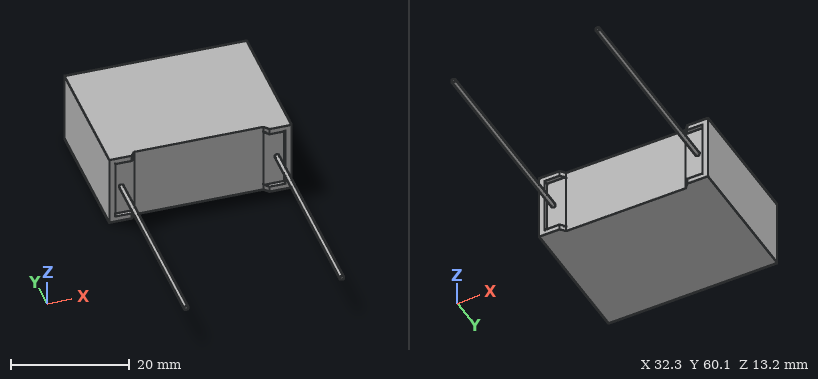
import cadquery as cq

case_width = 32.3
case_height = 13.2
total_length = 60.1
case_depth = 25.1
wall = 1.1
back_edge_radius = 0.55

relief_depth = 0.9
relief_bottom_width = 22.85
relief_slope_run = 0.8
relief_mouth_width = relief_bottom_width + 2 * relief_slope_run

filling_setback = 0.8
lead_diameter = 0.8
lead_spacing = 27.5
lead_length = total_length - case_depth
lead_embedding = 1.2
lead_inner_end = filling_setback + lead_embedding

panel_back = relief_depth + wall
cavity_height = case_height - 2 * wall
cavity_width = case_width - 2 * wall
cavity_depth = case_depth - wall


def block(width, height, y_front, y_back):
    """Box centred on X and Z that runs from y_front to y_back."""
    return (
        cq.Workplane("XY")
        .box(width, y_back - y_front, height, centered=(True, False, True))
        .translate((0, y_front, 0))
    )


def make_shell():
    """Solid outer form with the rounded back edges and the relief between the feet."""
    relief = (
        cq.Workplane("XY")
        .polyline([
            (-relief_mouth_width / 2, 0),
            (-relief_bottom_width / 2, relief_depth),
            (relief_bottom_width / 2, relief_depth),
            (relief_mouth_width / 2, 0),
        ])
        .close()
        .extrude(case_height / 2, both=True)
    )
    return (
        block(case_width, case_height, 0, case_depth)
        .faces(">Y")
        .edges()
        .fillet(back_edge_radius)
        .cut(relief)
    )


def make_cavity():
    """Hollow behind the front panel, with a window on each side of the panel."""
    panel = block(relief_bottom_width, case_height, 0, panel_back)
    return block(cavity_width, cavity_height, 0, cavity_depth).cut(panel)


def make_lead(x):
    """Round wire along Y, from inside the filling to its free end."""
    return (
        cq.Workplane("XZ", origin=(x, lead_inner_end, 0))
        .circle(lead_diameter / 2)
        .extrude(lead_length + lead_inner_end)
    )


def make_filling(leads):
    """Resin that fills the cavity up to its setback and grips the leads."""
    filling = make_cavity().cut(block(case_width, case_height, 0, filling_setback))
    for lead in leads:
        filling = filling.cut(lead)
    return filling


case = make_shell().cut(make_cavity())
leads = [make_lead(side * lead_spacing / 2) for side in (-1, 1)]
filling = make_filling(leads)

result = cq.Compound.makeCompound([case.val(), filling.val(), *[lead.val() for lead in leads]])